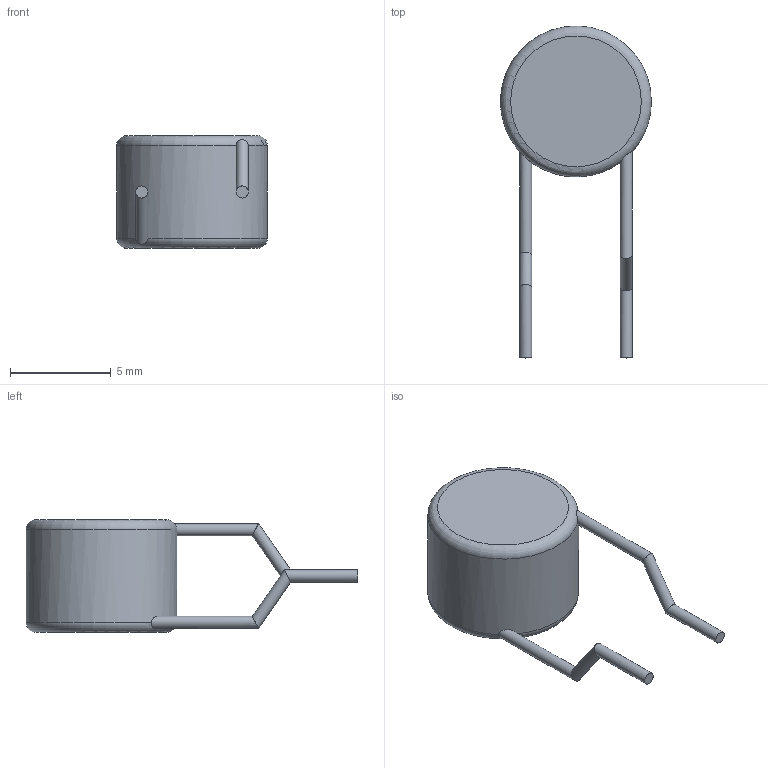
import cadquery as cq

body_diameter = 7.5
body_height = 5.6
edge_radius = 0.5

lead_diameter = 0.6
lead_pitch = 5.0
lead_edge_distance = 0.5
lead_reach = 9.0
tip_length = 3.5
bend_length = 1.6

tip_y = -(body_diameter / 2 + lead_reach)
inner_bend_y = tip_y + tip_length
outer_bend_y = inner_bend_y + bend_length
lead_offset = body_height / 2 - lead_edge_distance


def make_body():
    """Cylinder with both rims rounded."""
    body = cq.Workplane("XY").circle(body_diameter / 2).extrude(body_height)
    body = body.translate((0, 0, -body_height / 2))
    return body.edges("%CIRCLE").fillet(edge_radius)


def make_lead(x, root_z):
    """Round wire with mitred bends, from inside the body at root_z to a tip at mid height."""
    path = (
        cq.Workplane("YZ", origin=(x, 0, 0))
        .moveTo(0, root_z)
        .lineTo(outer_bend_y, root_z)
        .lineTo(inner_bend_y, 0)
        .lineTo(tip_y, 0)
    )
    section = cq.Workplane("XZ", origin=(x, 0, root_z)).circle(lead_diameter / 2)
    return section.sweep(path, transition="right")


result = make_body()
for side in (-1, 1):
    result = result.union(make_lead(side * lead_pitch / 2, side * lead_offset))